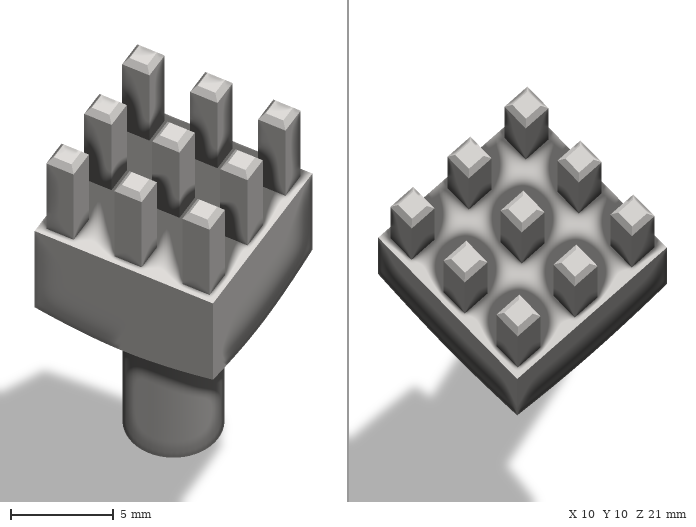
import cadquery as cq
import math

total_height = 21.0
block_side = 10.0
block_height = 6.0
shaft_diameter = block_side / 2
shaft_length = block_side
shaft_chamfer = 0.4

pins_per_side = 3
pin_side = 1.53
pin_edge_margin = 0.42
pin_chamfer_height = 0.34
pin_chamfer_inset = 0.27

relief_angle = 15.0

block_top = shaft_length + block_height
pin_length = total_height - block_top
pin_pitch = (block_side - 2 * pin_edge_margin - pin_side) / (pins_per_side - 1)


def make_shaft():
    shaft = cq.Workplane("XY").circle(shaft_diameter / 2).extrude(shaft_length)
    return shaft.faces("<Z").chamfer(shaft_chamfer)


def make_block():
    """Square block whose underside slopes up outside its inscribed circle."""
    block = (
        cq.Workplane("XY")
        .workplane(offset=shaft_length)
        .rect(block_side, block_side)
        .extrude(block_height)
    )
    inner_radius = block_side / 2
    outer_radius = block_side
    rise = (outer_radius - inner_radius) * math.tan(math.radians(relief_angle))
    envelope = (
        cq.Workplane("XZ")
        .moveTo(0, shaft_length)
        .lineTo(inner_radius, shaft_length)
        .lineTo(outer_radius, shaft_length + rise)
        .lineTo(outer_radius, block_top)
        .lineTo(0, block_top)
        .close()
        .revolve(360, (0, 0, 0), (0, 1, 0))
    )
    return block.intersect(envelope)


def make_pin(x, y):
    """Square pin with a bevelled tip, standing on the block at (x, y)."""
    tip_side = pin_side - 2 * pin_chamfer_inset
    return (
        cq.Workplane("XY")
        .workplane(offset=block_top)
        .center(x, y)
        .rect(pin_side, pin_side)
        .extrude(pin_length - pin_chamfer_height)
        .faces(">Z")
        .workplane()
        .rect(pin_side, pin_side)
        .workplane(offset=pin_chamfer_height)
        .rect(tip_side, tip_side)
        .loft(ruled=True, combine=True)
    )


result = make_shaft().union(make_block())
first_pin = -pin_pitch * (pins_per_side - 1) / 2
for column in range(pins_per_side):
    for row in range(pins_per_side):
        pin = make_pin(first_pin + column * pin_pitch, first_pin + row * pin_pitch)
        result = result.union(pin)